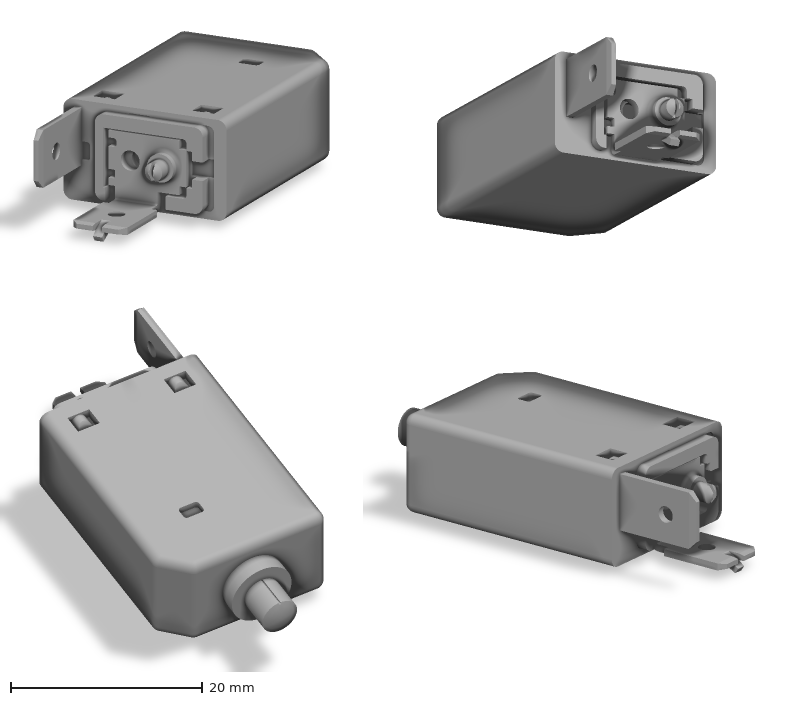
import cadquery as cq
import math


case_width = 19.0
case_length = 27.55
case_height = 11.05
case_fillet = 1.0
case_chamfer = 3.1
case_top = case_height / 2

button_x = -0.55
button_radius = 2.07
button_end = 34.0
button_dome_height = 0.57
button_groove_size = 0.18
collar_radius = 3.57
collar_end = 29.55

window_width = 2.6
window_length = 2.3
window_depth = 1.15
window_y = 2.95
window_centres_x = (-5.7, 5.85)
latch_radius = 0.9
latch_length = 1.95
latch_slope_length = 0.95
latch_drop = 0.2

mark_width = 2.4
mark_length = 1.65
mark_x = 2.5
mark_y = 19.95
mark_depth = 0.8
mark_fillet = 0.35

block_left = -5.25
block_right = 7.33
block_half_height = 4.7
block_depth = 1.2
block_fillet = 0.95
pocket_left = -4.32
pocket_right = 5.45
pocket_half_height = 3.25
pocket_fillet = 0.45
tab_gap_left = -4.05
tab_gap_right = 3.0
ear_right = 6.1
ear_half_height = 2.05
side_slot_half_height = 1.0
side_slot_case_depth = 0.55

groove_right = 8.08
groove_depth = 0.25
groove_fillet = 0.8

blade_recess_left = -7.35
blade_recess_right = -6.4
blade_recess_half_height = 1.0
front_recess_depth = 0.45
blade_recess_fillet = 0.4
pry_notch_width = 2.35
pry_notch_height = 0.15
pry_notch_x = -0.65

blade_width = 6.3
blade_thickness = 0.8
blade_hole_radius = 0.93
blade_edge_taper = 0.15
side_blade_x = -7.75
side_blade_z = 1.6
side_blade_end = -10.0
side_blade_chamfer = 0.93
side_blade_hole_y = -6.05
lower_blade_x = button_x
lower_blade_z = -4.85
lower_blade_end = -10.15
lower_blade_chamfer = 0.7
lower_blade_hole_y = -5.65
neck_width = 4.95
neck_end = -2.43

plate_front = -0.95
plate_back = plate_front + blade_thickness
plate_left = -3.8
plate_right = 5.25
plate_step_x = 4.45
plate_half_height = 3.0
bend_inner_radius = 0.2
bend_outer_radius = bend_inner_radius + blade_thickness
plate_notch_size = 0.95
plate_notch_z = 1.7
plate_notch_fillet = 0.4
plate_hole_x = -1.25
plate_hole_radius = 1.1
plate_hole_depth = 0.9
rear_hole_shift = 0.8

lance_width = 1.05
lance_slot_start = -7.7
lance_angle = math.radians(28)
lance_tip_y = -10.15
lance_tip_z = -6.25
lance_taper_y = -9.58
lance_taper = 0.15

screw_x = 2.8
flare_base_radius = 1.95
flare_fillet = 0.4
flare_end = -2.05
shank_radius = 1.0
shank_end = -3.6
screw_tip_radius = 0.35
screw_end = -4.15
screw_slot_width = 0.4
screw_slot_floor = -3.25


def box(x0, x1, y0, y1, z0, z1):
    """Box between opposite corner coordinates."""
    return cq.Workplane("XY").box(x1 - x0, y1 - y0, z1 - z0, centered=False).translate((x0, y0, z0))


def cylinder_y(radius, x, z, y0, y1):
    """Cylinder with its axis along Y, from y0 up to y1."""
    return cq.Workplane(cq.Solid.makeCylinder(radius, y1 - y0, cq.Vector(x, y0, z), cq.Vector(0, 1, 0)))


def make_case():
    case = box(-case_width / 2, case_width / 2, 0, case_length, -case_top, case_top)
    case = case.edges("<X and |Z and >Y").fillet(case_fillet)
    case = case.edges(">X and |Z and >Y").chamfer(case_chamfer)
    case = case.edges("(|Z and >Y) or (|Z and >X and (not <Y))").fillet(case_fillet)
    return case.edges("(>Z or <Z) and (not <Y)").fillet(case_fillet)


def make_button():
    dome_edge_y = button_end - button_dome_height
    dome_radius = (button_radius**2 + button_dome_height**2) / (2 * button_dome_height)
    dome_mid_x = button_radius / 2
    dome_mid_y = button_end - dome_radius + math.sqrt(dome_radius**2 - dome_mid_x**2)
    profile = (
        cq.Workplane("XY", origin=(button_x, 0, 0))
        .moveTo(0, case_length)
        .lineTo(collar_radius, case_length)
        .lineTo(collar_radius, collar_end)
        .lineTo(button_radius, collar_end)
        .lineTo(button_radius, dome_edge_y)
        .threePointArc((dome_mid_x, dome_mid_y), (0, button_end))
        .close()
    )
    groove = box(
        button_x - button_groove_size / 2, button_x + button_groove_size / 2,
        collar_end, button_end, button_radius - button_groove_size, button_radius,
    )
    return profile.revolve(360, (0, 0, 0), (0, 1, 0)).cut(groove)


def make_window(x):
    """Window void with the latch nub left standing on its floor."""
    void = box(
        x - window_width / 2, x + window_width / 2,
        window_y - window_length / 2, window_y + window_length / 2,
        case_top - window_depth, case_top,
    )
    latch_top = case_top - latch_drop
    latch_front = window_y - window_length / 2
    latch_back = latch_front + latch_length
    nub = cylinder_y(latch_radius, x, latch_top - latch_radius, latch_front, latch_back)
    slope = (
        cq.Workplane("YZ", origin=(x, 0, 0))
        .moveTo(latch_back - latch_slope_length, latch_top)
        .lineTo(latch_back, latch_top - latch_radius)
        .lineTo(latch_back, latch_top)
        .close()
        .extrude(latch_radius, both=True)
    )
    return void.cut(nub.cut(slope))


def make_mark():
    mark = box(
        mark_x - mark_width / 2, mark_x + mark_width / 2,
        mark_y - mark_length / 2, mark_y + mark_length / 2,
        case_top - mark_depth, case_top,
    )
    return mark.edges("|Z").fillet(mark_fillet)


def make_block_outline(y0, y1):
    block = box(block_left, block_right, y0, y1, -block_half_height, block_half_height)
    return block.edges("|Y").fillet(block_fillet)


def make_block():
    """Raised front block with the stepped pocket cut through to the case face."""
    block = make_block_outline(-block_depth, 0)
    pocket = box(pocket_left, pocket_right, -block_depth, 0, -pocket_half_height, pocket_half_height)
    pocket = pocket.edges(">X and |Y").fillet(pocket_fillet)
    tab_gap = box(tab_gap_left, tab_gap_right, -block_depth, 0, -block_half_height, 0)
    ears = box(0, ear_right, -block_depth, 0, -ear_half_height, ear_half_height)
    side_slot = box(0, block_right, -block_depth, 0, -side_slot_half_height, side_slot_half_height)
    return block.cut(pocket).cut(tab_gap).cut(ears).cut(side_slot)


def make_front_recesses():
    blade_recess = box(
        blade_recess_left, blade_recess_right, 0, front_recess_depth,
        -blade_recess_half_height, blade_recess_half_height,
    )
    blade_recess = blade_recess.edges(">X and |Y").fillet(blade_recess_fillet)
    pry_notch = box(
        pry_notch_x - pry_notch_width / 2, pry_notch_x + pry_notch_width / 2, 0, front_recess_depth,
        block_half_height, block_half_height + pry_notch_height,
    )
    groove = box(0, groove_right, 0, groove_depth, -block_half_height, block_half_height)
    groove = groove.edges(">X and |Y").fillet(groove_fillet).cut(make_block_outline(0, groove_depth))
    slot_floor = box(
        pocket_right, groove_right, 0, side_slot_case_depth,
        -side_slot_half_height, side_slot_half_height,
    )
    return blade_recess.union(pry_notch).union(groove).union(slot_floor)


def make_blade(root_y, end_y, tip_chamfer, hole_y):
    """Flat blade centred on X = 0 and Z = 0 with cut corners, a thinned tip and a hole."""
    half_width = blade_width / 2
    half_thickness = blade_thickness / 2
    taper_start = end_y + tip_chamfer
    outline = (
        cq.Workplane("XY", origin=(0, 0, -half_thickness))
        .moveTo(-half_width, root_y)
        .lineTo(-half_width, taper_start)
        .lineTo(-half_width + tip_chamfer, end_y)
        .lineTo(half_width - tip_chamfer, end_y)
        .lineTo(half_width, taper_start)
        .lineTo(half_width, root_y)
        .close()
        .extrude(blade_thickness)
    )
    side_profile = (
        cq.Workplane("YZ")
        .moveTo(root_y, -half_thickness)
        .lineTo(taper_start, -half_thickness)
        .lineTo(end_y, -half_thickness + blade_edge_taper)
        .lineTo(end_y, half_thickness - blade_edge_taper)
        .lineTo(taper_start, half_thickness)
        .lineTo(root_y, half_thickness)
        .close()
        .extrude(half_width, both=True)
    )
    hole = cq.Workplane("XY").center(0, hole_y).circle(blade_hole_radius)
    return outline.intersect(side_profile).cut(hole.extrude(blade_thickness, both=True))


def make_side_blade():
    blade = make_blade(0, side_blade_end, side_blade_chamfer, side_blade_hole_y)
    blade = blade.rotate((0, 0, 0), (0, 1, 0), 90)
    return blade.translate((side_blade_x, 0, side_blade_z))


def make_lower_blade():
    blade = make_blade(neck_end, lower_blade_end, lower_blade_chamfer, lower_blade_hole_y)
    blade = blade.translate((lower_blade_x, 0, lower_blade_z))
    slot = box(
        lower_blade_x - lance_width / 2, lower_blade_x + lance_width / 2,
        lower_blade_end, lance_slot_start,
        lower_blade_z - blade_thickness, lower_blade_z + blade_thickness,
    )
    return blade.cut(slot).union(make_lance())


def make_lance():
    blade_upper = lower_blade_z + blade_thickness / 2
    blade_lower = lower_blade_z - blade_thickness / 2
    slope = math.tan(lance_angle)
    tip_lower_y = lance_tip_y + blade_thickness * math.sin(lance_angle)
    tip_upper_z = lance_tip_z + blade_thickness * math.cos(lance_angle)
    lower_bend_y = tip_lower_y + (blade_lower - lance_tip_z) / slope
    upper_bend_y = lance_tip_y + (blade_upper - tip_upper_z) / slope
    return (
        cq.Workplane("YZ", origin=(lower_blade_x, 0, 0))
        .moveTo(lance_slot_start, blade_upper)
        .lineTo(upper_bend_y, blade_upper)
        .lineTo(lance_taper_y, tip_upper_z + (lance_taper_y - lance_tip_y) * slope)
        .lineTo(lance_tip_y, tip_upper_z - lance_taper)
        .lineTo(tip_lower_y, lance_tip_z)
        .lineTo(lower_bend_y, blade_lower)
        .lineTo(lance_slot_start, blade_lower)
        .close()
        .extrude(lance_width / 2, both=True)
    )


def make_bent_neck():
    """Strip running down the plate and round the bend to the lower blade."""
    blade_upper = lower_blade_z + blade_thickness / 2
    blade_lower = lower_blade_z - blade_thickness / 2
    bend_y = plate_front - bend_inner_radius
    bend_z = blade_upper + bend_inner_radius
    diagonal = math.sqrt(0.5)
    outer_mid = (bend_y + bend_outer_radius * diagonal, bend_z - bend_outer_radius * diagonal)
    inner_mid = (bend_y + bend_inner_radius * diagonal, bend_z - bend_inner_radius * diagonal)
    return (
        cq.Workplane("YZ", origin=(lower_blade_x, 0, 0))
        .moveTo(plate_back, 0)
        .lineTo(plate_back, bend_z)
        .threePointArc(outer_mid, (bend_y, blade_lower))
        .lineTo(neck_end, blade_lower)
        .lineTo(neck_end, blade_upper)
        .lineTo(bend_y, blade_upper)
        .threePointArc(inner_mid, (plate_front, bend_z))
        .lineTo(plate_front, 0)
        .close()
        .extrude(neck_width / 2, both=True)
    )


def make_plate():
    """Terminal plate in the block pocket; it rests on the case face."""
    plate = box(plate_left, plate_step_x, plate_front, 0, -plate_half_height, plate_half_height)
    plate = plate.union(box(0, plate_right, plate_front, 0, -ear_half_height, ear_half_height))
    for z in (-plate_notch_z, plate_notch_z):
        notch = box(
            plate_left, plate_left + plate_notch_size, plate_front, 0,
            z - plate_notch_size / 2, z + plate_notch_size / 2,
        )
        plate = plate.cut(notch.edges(">X and |Y").fillet(plate_notch_fillet))
    plate = plate.union(make_bent_neck())
    return plate.cut(cylinder_y(plate_hole_radius, plate_hole_x, 0, plate_front, 0))


def make_screw():
    collar_side = flare_base_radius - flare_fillet
    arc_reach = flare_fillet * (1 - math.sqrt(0.5))
    arc_mid = (collar_side + arc_reach, plate_front - arc_reach)
    profile = (
        cq.Workplane("XY", origin=(screw_x, 0, 0))
        .moveTo(0, plate_front)
        .lineTo(flare_base_radius, plate_front)
        .threePointArc(arc_mid, (collar_side, plate_front - flare_fillet))
        .lineTo(collar_side, flare_end)
        .lineTo(shank_radius, flare_end)
        .lineTo(shank_radius, shank_end)
        .lineTo(screw_tip_radius, screw_end)
        .lineTo(0, screw_end)
        .close()
    )
    slot = box(
        screw_x - screw_slot_width / 2, screw_x + screw_slot_width / 2,
        screw_end, screw_slot_floor, -shank_radius, shank_radius,
    )
    return profile.revolve(360, (0, 0, 0), (0, 1, 0)).cut(slot)


case = make_case().cut(make_mark()).cut(make_front_recesses())
for window_x in window_centres_x:
    case = case.cut(make_window(window_x))
case = case.cut(cylinder_y(plate_hole_radius, plate_hole_x + rear_hole_shift, 0, 0, plate_hole_depth))

result = case.union(make_button()).union(make_block()).union(make_side_blade())
result = result.union(make_plate()).union(make_lower_blade()).union(make_screw())